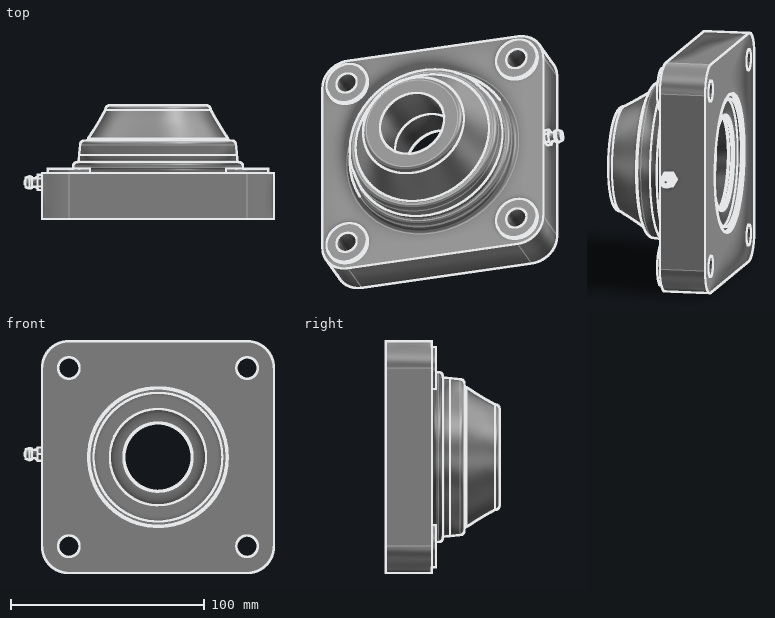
import cadquery as cq
import math


PLATE_SIZE = 120.0
PLATE_THICKNESS = 23.9
PLATE_CORNER_RADIUS = 13.9
BOLT_OFFSET = PLATE_SIZE / 2 - PLATE_CORNER_RADIUS
BOLT_HOLE_DIAMETER = 11.0
PAD_RADIUS = 11.0
PAD_HEIGHT = 2.2

BOSS_RADIUS = 44.0
BOSS_TOP = 29.5
BOSS_ROOT_FILLET = 2.7
BOSS_TOP_FILLET = 2.2
HUB_ROOT_RADIUS = 41.2
HUB_TOP_RADIUS = 40.9
HUB_TOP = 33.3
HUB_ROOT_FILLET = 0.5

SEAT_RADIUS = 35.7
SEAT_CHAMFER = 0.4
SHAFT_RADIUS = 17.4
BEARING_FRONT = 12.8
BEARING_CHAMFER = 0.5

SEAL_RIM_FRONT = 1.3
SEAL_RIM_CHAMFER = 0.3
SEAL_FACE = 3.1
SEAL_RIM_RADIUS = 33.3
SEAL_BORE_RADIUS = 24.9
SEAL_GROOVE_FRONT = 4.1
SEAL_GROOVE_BACK = 6.5
SEAL_GROOVE_DEPTH = 0.5

COVER_END = 59.0
COVER_CONE_TOP = (27.3, 56.4)
COVER_CONE_BASE = (36.2, 41.7)
COVER_CONE_SAG = 0.3
COVER_STEP_Y = 40.8
COVER_STEP_INNER_RADIUS = 37.0
COVER_SHOULDER_FILLET = 2.5
COVER_SHOULDER_RADIUS = 40.4

NIPPLE_Y = 19.0
NIPPLE_Z = 1.5
NIPPLE_LENGTH = 9.0
HEX_ACROSS_FLATS = 7.0
HEX_HEIGHT = 2.2
NECK_BASE_RADIUS = 3.4
NECK_RADIUS = 2.2
NECK_TOP_RADIUS = 2.5
NECK_NARROW_HEIGHT = 3.9
HEAD_BASE_HEIGHT = 5.2
HEAD_BASE_RADIUS = 2.8
HEAD_RIM_HEIGHT = 6.3
HEAD_RIM_RADIUS = 3.2
HEAD_TOP_HEIGHT = 8.5
HEAD_TOP_RADIUS = 2.5
DOME_RIM_RADIUS = 1.3

DIAGONAL = math.sqrt(0.5)


def around_y(profile):
    """Turn a closed (radius, Y) profile around the bearing axis."""
    return profile.close().revolve(360, (0, 0, 0), (0, 1, 0))


def mounting_face():
    """Workplane on the mounting face, with its normal along +Y into the plate."""
    return cq.Workplane(cq.Plane((0, 0, 0), xDir=(1, 0, 0), normal=(0, 1, 0)))


def fillet_point(center_radius, center_y, radius, radial, axial):
    """Middle of a quarter-round, on the side given by the signs radial and axial."""
    reach = radius * DIAGONAL
    return center_radius + radial * reach, center_y + axial * reach


def boss_and_hub():
    """Round boss flaring into the plate, with the tapered hub on it."""
    flare_radius = BOSS_RADIUS + BOSS_ROOT_FILLET
    flare_y = PLATE_THICKNESS + BOSS_ROOT_FILLET
    round_radius = BOSS_RADIUS - BOSS_TOP_FILLET
    round_y = BOSS_TOP - BOSS_TOP_FILLET
    profile = (
        cq.Workplane("XY")
        .moveTo(0, 0)
        .lineTo(flare_radius, 0)
        .lineTo(flare_radius, PLATE_THICKNESS)
        .threePointArc(
            fillet_point(flare_radius, flare_y, BOSS_ROOT_FILLET, -1, -1), (BOSS_RADIUS, flare_y)
        )
        .lineTo(BOSS_RADIUS, round_y)
        .threePointArc(fillet_point(round_radius, round_y, BOSS_TOP_FILLET, 1, 1), (round_radius, BOSS_TOP))
        .lineTo(HUB_ROOT_RADIUS + HUB_ROOT_FILLET, BOSS_TOP)
        .tangentArcPoint((HUB_ROOT_RADIUS, BOSS_TOP + HUB_ROOT_FILLET), relative=False)
        .lineTo(HUB_TOP_RADIUS, HUB_TOP)
        .lineTo(0, HUB_TOP)
    )
    return around_y(profile)


def make_housing():
    """Square plate with four bolt pads, the boss and hub, and a bore that seats the bearing."""
    bolt_places = [(x * BOLT_OFFSET, z * BOLT_OFFSET) for x in (-1, 1) for z in (-1, 1)]
    pad_top = PLATE_THICKNESS + PAD_HEIGHT
    plate = (
        mounting_face()
        .rect(PLATE_SIZE, PLATE_SIZE)
        .extrude(PLATE_THICKNESS)
        .edges("|Y")
        .fillet(PLATE_CORNER_RADIUS)
    )
    pads = mounting_face().pushPoints(bolt_places).circle(PAD_RADIUS).extrude(pad_top)
    bolt_holes = mounting_face().pushPoints(bolt_places).circle(BOLT_HOLE_DIAMETER / 2).extrude(pad_top)
    seat = (
        cq.Workplane("XY")
        .moveTo(0, 0)
        .lineTo(SEAT_RADIUS + SEAT_CHAMFER, 0)
        .lineTo(SEAT_RADIUS, SEAT_CHAMFER)
        .lineTo(SEAT_RADIUS, HUB_TOP)
        .lineTo(0, HUB_TOP)
    )
    return plate.union(boss_and_hub()).union(pads).cut(bolt_holes).cut(around_y(seat))


def make_bearing():
    """Plain annulus with a chamfer at the front of its bore."""
    chamfer_radius = SHAFT_RADIUS + BEARING_CHAMFER
    profile = (
        cq.Workplane("XY")
        .moveTo(chamfer_radius, BEARING_FRONT)
        .lineTo(SEAT_RADIUS, BEARING_FRONT)
        .lineTo(SEAT_RADIUS, HUB_TOP)
        .lineTo(SHAFT_RADIUS, HUB_TOP)
        .lineTo(SHAFT_RADIUS, BEARING_FRONT + BEARING_CHAMFER)
    )
    return around_y(profile)


def make_seal_ring():
    """Ring with a raised, chamfered outer rim and a shallow groove in its bore."""
    groove_radius = SEAL_BORE_RADIUS + SEAL_GROOVE_DEPTH
    profile = (
        cq.Workplane("XY")
        .moveTo(SEAL_RIM_RADIUS, SEAL_RIM_FRONT)
        .lineTo(SEAT_RADIUS - SEAL_RIM_CHAMFER, SEAL_RIM_FRONT)
        .lineTo(SEAT_RADIUS, SEAL_RIM_FRONT + SEAL_RIM_CHAMFER)
        .lineTo(SEAT_RADIUS, BEARING_FRONT)
        .lineTo(SEAL_BORE_RADIUS, BEARING_FRONT)
        .lineTo(SEAL_BORE_RADIUS, SEAL_GROOVE_BACK)
        .lineTo(groove_radius, SEAL_GROOVE_BACK - SEAL_GROOVE_DEPTH)
        .lineTo(groove_radius, SEAL_GROOVE_FRONT + SEAL_GROOVE_DEPTH)
        .lineTo(SEAL_BORE_RADIUS, SEAL_GROOVE_FRONT)
        .lineTo(SEAL_BORE_RADIUS, SEAL_FACE)
        .lineTo(SEAL_RIM_RADIUS, SEAL_FACE)
    )
    return around_y(profile)


def make_end_cover():
    """Cover with a tapered skirt, a shoulder and a slightly hollow cone, bored for the shaft."""
    shoulder_round_radius = COVER_SHOULDER_RADIUS - COVER_SHOULDER_FILLET
    shoulder_round_y = COVER_STEP_Y - COVER_SHOULDER_FILLET
    end_round = COVER_END - COVER_CONE_TOP[1]
    end_face_radius = COVER_CONE_TOP[0] - end_round
    cone_middle = (
        (COVER_CONE_BASE[0] + COVER_CONE_TOP[0]) / 2 - COVER_CONE_SAG,
        (COVER_CONE_BASE[1] + COVER_CONE_TOP[1]) / 2,
    )
    profile = (
        cq.Workplane("XY")
        .moveTo(SHAFT_RADIUS, HUB_TOP)
        .lineTo(HUB_TOP_RADIUS, HUB_TOP)
        .lineTo(COVER_SHOULDER_RADIUS, shoulder_round_y)
        .threePointArc(
            fillet_point(shoulder_round_radius, shoulder_round_y, COVER_SHOULDER_FILLET, 1, 1),
            (shoulder_round_radius, COVER_STEP_Y),
        )
        .lineTo(COVER_STEP_INNER_RADIUS, COVER_STEP_Y)
        .tangentArcPoint(COVER_CONE_BASE, relative=False)
        .threePointArc(cone_middle, COVER_CONE_TOP)
        .threePointArc(
            fillet_point(end_face_radius, COVER_CONE_TOP[1], end_round, 1, 1),
            (end_face_radius, COVER_END),
        )
        .lineTo(SHAFT_RADIUS, COVER_END)
    )
    return around_y(profile)


def make_grease_nipple():
    """Hexagon seated on the -X side of the plate, with a waisted neck and a domed head."""
    side = cq.Plane((-PLATE_SIZE / 2, NIPPLE_Y, NIPPLE_Z), xDir=(0, 1, 0), normal=(-1, 0, 0))
    hexagon = (
        cq.Workplane(side)
        .polygon(6, HEX_ACROSS_FLATS / math.cos(math.pi / 6))
        .extrude(HEX_HEIGHT)
    )
    dome_height = NIPPLE_LENGTH - HEAD_TOP_HEIGHT
    dome_radius = (DOME_RIM_RADIUS**2 + dome_height**2) / (2 * dome_height)
    section = cq.Plane((-PLATE_SIZE / 2, NIPPLE_Y, NIPPLE_Z), xDir=(0, 1, 0), normal=(0, 0, 1))
    stem = (
        cq.Workplane(section)
        .moveTo(0, 0)
        .lineTo(NECK_BASE_RADIUS, 0)
        .lineTo(NECK_BASE_RADIUS, HEX_HEIGHT)
        .threePointArc((NECK_RADIUS, NECK_NARROW_HEIGHT), (NECK_TOP_RADIUS, HEAD_BASE_HEIGHT))
        .lineTo(HEAD_BASE_RADIUS, HEAD_BASE_HEIGHT)
        .lineTo(HEAD_RIM_RADIUS, HEAD_RIM_HEIGHT)
        .lineTo(HEAD_TOP_RADIUS, HEAD_TOP_HEIGHT)
        .lineTo(DOME_RIM_RADIUS, HEAD_TOP_HEIGHT)
        .radiusArc((0, NIPPLE_LENGTH), -dome_radius)
        .close()
        .revolve(360, (0, 0, 0), (0, 1, 0))
    )
    return hexagon.union(stem)


housing = make_housing()
bearing = make_bearing()
seal_ring = make_seal_ring()
end_cover = make_end_cover()
grease_nipple = make_grease_nipple()

result = cq.Compound.makeCompound(
    [housing.val(), bearing.val(), seal_ring.val(), end_cover.val(), grease_nipple.val()]
)